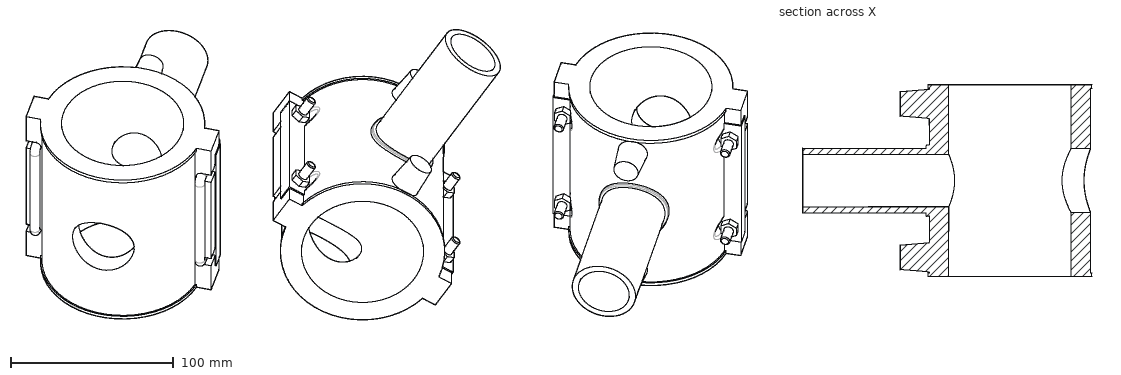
import cadquery as cq
import math

height = 118.0
bore_radius = 37.5
body_radius = 49.7
rim_radius = 50.5
rim_thickness = 2.3

ear_half_width = 59.0
ear_back = 9.3
ear_front = 9.6
overall_width = 119.0
plate_half_width = overall_width / 2
plate_thickness = 10.1
plate_height = 94.3

overall_length = 178.0
pipe_end = overall_length - rim_radius
pipe_diameter = 40.0
pipe_bore = 32.0
collar_diameter = 44.0
collar_radius = 51.6
collar_fillet = 0.7
front_hole_diameter = 39.2

pin_z = 47.2
pin_root_y = 42.9
pin_tip_y = 67.5
pin_root_diameter = 19.4
pin_tip_diameter = 15.3

rod_radius = 3.0
bend_radius = 3.2
bridge_y = -12.5
bolt_x = 52.5
bolt_z = 35.5
bolt_tip_y = 25.0
bolt_tip_chamfer = 0.7
nut_flats = 10.0
nut_thickness = 4.5
nut_pocket_radius = 7.5
nut_pocket_fillet = 3.5
edge_margin = 0.2


def plane_facing_y(x, y, z):
    """Sketch plane at a point, with its normal along +Y."""
    return cq.Plane(origin=(x, y, z), xDir=(1, 0, 0), normal=(0, 1, 0))


def cylinder_along_y(radius, start, end, x=0, z=0):
    return cq.Workplane(plane_facing_y(x, start, z)).circle(radius).extrude(end - start)


def upright_cylinder(radius, length):
    """Cylinder on the Z axis, centred on Z = 0."""
    return cq.Workplane("XY").circle(radius).extrude(length / 2, both=True)


def block(half_width, front, back, block_height):
    """Block centred on X = 0 and Z = 0, between two Y positions."""
    middle = (front + back) / 2
    return cq.Workplane("XY").box(2 * half_width, back - front, block_height).translate((0, middle, 0))


def clamp_body():
    """Solid clamp outline; the bore is cut later."""
    body = upright_cylinder(body_radius, height)
    rim = cq.Workplane("XY").circle(rim_radius).extrude(rim_thickness)
    body = body.union(rim.translate((0, 0, height / 2 - rim_thickness)))
    body = body.union(rim.translate((0, 0, -height / 2)))
    body = body.union(block(ear_half_width, -ear_front, ear_back, height))
    return body.union(block(plate_half_width, 0, plate_thickness, plate_height))


def cut_nut_pocket(body, x, z):
    """Hollow in the tube wall around a nut, with a rounded mouth."""
    pocket_end = plate_thickness + 2 * nut_pocket_radius
    body = body.cut(cylinder_along_y(nut_pocket_radius, plate_thickness, pocket_end, x, z))
    mouth = cq.selectors.BoxSelector(
        (x - nut_pocket_radius, plate_thickness + edge_margin, z - nut_pocket_radius),
        (x + nut_pocket_radius, pocket_end, z + nut_pocket_radius),
    )
    return body.edges(mouth).fillet(nut_pocket_fillet)


def cut_rod_slot(body, x, z):
    """Slot through the front ear, open to the side, for one leg of a U-bolt."""
    reach = 2 * abs(x)
    slot = cq.Workplane("XY").box(reach, ear_front, 2 * rod_radius)
    return body.cut(slot.translate((x + math.copysign(reach / 2, x), -ear_front / 2, z)))


def branch():
    collar = cylinder_along_y(collar_diameter / 2, 0, collar_radius)
    collar = collar.intersect(upright_cylinder(collar_radius, height))
    collar = collar.faces(">Y").edges().fillet(collar_fillet)
    return collar.union(cylinder_along_y(pipe_diameter / 2, 0, pipe_end))


def tapered_pin(z):
    return (
        cq.Workplane(plane_facing_y(0, pin_root_y, z))
        .circle(pin_root_diameter / 2)
        .workplane(offset=pin_tip_y - pin_root_y)
        .circle(pin_tip_diameter / 2)
        .loft()
    )


def u_bolt(x):
    """Rod swept along two legs joined by a straight bridge in front of the ear."""
    leg_end = bridge_y + bend_radius
    bend_z = bolt_z - bend_radius
    mid = bend_radius * math.sin(math.pi / 4)
    path = (
        cq.Workplane("YZ", origin=(x, 0, 0))
        .moveTo(bolt_tip_y, bolt_z)
        .lineTo(leg_end, bolt_z)
        .threePointArc((leg_end - mid, bend_z + mid), (bridge_y, bend_z))
        .lineTo(bridge_y, -bend_z)
        .threePointArc((leg_end - mid, -bend_z - mid), (leg_end, -bolt_z))
        .lineTo(bolt_tip_y, -bolt_z)
    )
    rod = cq.Workplane(plane_facing_y(x, bolt_tip_y, bolt_z)).circle(rod_radius).sweep(path)
    return rod.faces(">Y").chamfer(bolt_tip_chamfer)


def nut(x, z):
    """Hexagonal nut with corners pointing up and down."""
    plane = cq.Plane(origin=(x, plate_thickness, z), xDir=(0, 0, 1), normal=(0, 1, 0))
    across_corners = nut_flats / math.cos(math.pi / 6)
    return cq.Workplane(plane).polygon(6, across_corners).extrude(nut_thickness)


bolt_places = [(x, z) for x in (-bolt_x, bolt_x) for z in (-bolt_z, bolt_z)]

result = clamp_body()
for x, z in bolt_places:
    result = cut_nut_pocket(result, x, z)
    result = cut_rod_slot(result, x, z)

result = result.union(branch())
for z in (-pin_z, pin_z):
    result = result.union(tapered_pin(z))

result = result.cut(upright_cylinder(bore_radius, height))
result = result.cut(cylinder_along_y(pipe_bore / 2, 0, pipe_end))
result = result.cut(cylinder_along_y(front_hole_diameter / 2, -rim_radius, 0))

for x in (-bolt_x, bolt_x):
    result = result.union(u_bolt(x))
for x, z in bolt_places:
    result = result.union(nut(x, z))